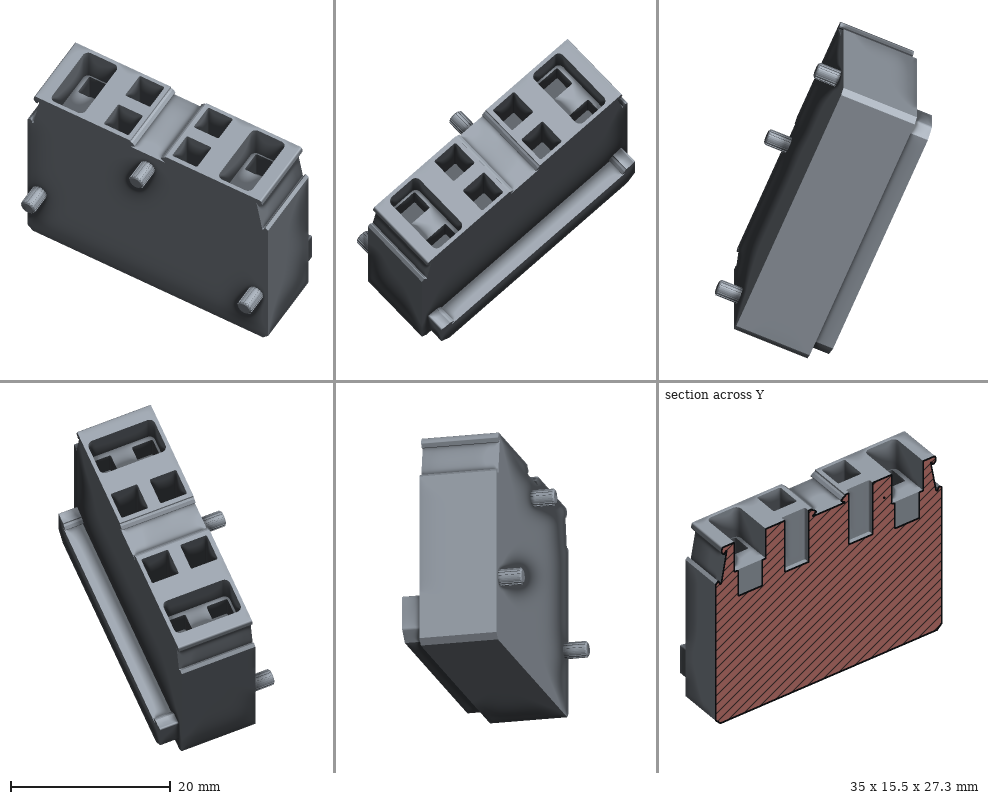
import cadquery as cq
import math

half_width = 17.5
body_depth = 10.0
body_height = 27.3
bottom_chamfer = 0.75
shoulder_z = 21.98

ridge_x = 17.1
ridge_z = 22.32
ridge_bevel_x = 16.92
ridge_bevel_z = 22.08
groove_outer_x = 16.8
groove_x = 16.65
groove_z = 21.75
neck_top_z = 26.6
neck_draft = math.tan(math.radians(10))
neck_top_x = groove_x - (neck_top_z - groove_z) * neck_draft
lip_top_x = 16.5
lip_tip_z = 26.57
lip_tip_x = lip_top_x + (body_height - lip_tip_z) * neck_draft
lip_bottom_z = 26.1
lip_bottom_outer_x = 16.3
lip_bottom_inner_x = 16.1
lip_fillet = 0.25
lip_tip_fillet = 0.1

hook_step_run = 0.06
hook_step_drop = 0.2
hook_bevel_run = 0.32
hook_bevel_drop = 0.33
hook_tip_run = 0.75
hook_tip_drop = 0.73
hook_tip_fillet = 0.12
hook_root_run = 0.1
hook_root_drop = 1.2
recess_half_width = 2.58

pocket_x = 12.18
pocket_width = 4.85
pocket_length = 9.0
pocket_depth = 4.6
pocket_radius = 0.75
well_x = 12.13
well_width = 3.75
well_length = 2.85
well_depth = 4.0
well_centres_y = (2.2, 7.9)
small_radius = 0.2

opening_x = 4.98
opening_size = 3.63
opening_depth = 8.0
opening_centres_y = (2.42, 7.7)

pin_length = 3.0
pin_outer_radius = 1.05
pin_root_radius = 0.95
pin_end_radius = 0.8
pin_chamfer_length = 0.2
pin_teeth = 15
pin_places = ((0, 23.6), (-15.75, 8.4), (15.75, 8.4))

latch_half_width = 16.5
latch_depth = 2.5
latch_bottom_z = 1.03
latch_chamfer = 1.37
latch_corner_z = 6.88
latch_corner_fillet = 0.2
latch_lower_fillet = 0.4
dish_inner_x = 15.0
dish_inner_z = 6.65
dish_sag = 0.17


def hook_points(corner_x, corner_z):
    """Right-hand side of a snap hook that points towards the centre plane."""
    offsets = (
        (0, 0),
        (hook_step_run, hook_step_drop),
        (hook_bevel_run, hook_bevel_drop),
        (hook_tip_run, hook_tip_drop),
        (hook_root_run, hook_root_drop),
    )
    return [(corner_x - run, corner_z - drop) for run, drop in offsets]


def extrude_both_halves(half_profile, start_y, depth):
    """Extrude an XZ half profile towards +Y and join its mirror image."""
    half = half_profile.close().extrude(-depth).translate((0, start_y, 0))
    return half.union(half.mirror("YZ"))


def fillet_edge_pair(solid, x, z, radius):
    """Round the edges along Y that pass through (x, z) and (-x, z)."""
    reach = 0.01
    for side in (-1, 1):
        near = cq.selectors.BoxSelector(
            (side * x - reach, -body_depth, z - reach),
            (side * x + reach, 2 * body_depth, z + reach),
        )
        solid = solid.edges("|Y").edges(near).fillet(radius)
    return solid


def round_hook_tips(solid, corner_x, corner_z):
    return fillet_edge_pair(
        solid, corner_x - hook_tip_run, corner_z - hook_tip_drop, hook_tip_fillet
    )


def make_body():
    recess = hook_points(recess_half_width, body_height)
    recess_floor_z = recess[-1][1]
    outline = [
        (0, 0),
        (half_width - bottom_chamfer, 0),
        (half_width, bottom_chamfer),
        (half_width, shoulder_z),
        (ridge_x, ridge_z),
        (ridge_bevel_x, ridge_bevel_z),
        (groove_outer_x, groove_z),
        (groove_x, groove_z),
        (neck_top_x, neck_top_z),
        (lip_bottom_inner_x, lip_bottom_z),
        (lip_bottom_outer_x, lip_bottom_z),
        (lip_tip_x, lip_tip_z),
        (lip_top_x, body_height),
    ]
    profile = cq.Workplane("XZ").polyline(outline + recess + [(0, recess_floor_z)])
    body = extrude_both_halves(profile, 0, body_depth)
    body = fillet_edge_pair(body, lip_tip_x, lip_tip_z, lip_tip_fillet)
    body = round_hook_tips(body, recess_half_width, body_height)
    return fillet_edge_pair(body, lip_top_x, body_height, lip_fillet)


def make_latch():
    hook = hook_points(dish_inner_x, dish_inner_z)
    floor_z = hook[-1][1]
    dish_mid_x = (latch_half_width + dish_inner_x) / 2
    dish_mid_z = (latch_corner_z + dish_inner_z) / 2 - dish_sag
    profile = (
        cq.Workplane("XZ")
        .moveTo(0, latch_bottom_z)
        .lineTo(latch_half_width - latch_chamfer, latch_bottom_z)
        .lineTo(latch_half_width, latch_bottom_z + latch_chamfer)
        .lineTo(latch_half_width, latch_corner_z)
        .threePointArc((dish_mid_x, dish_mid_z), hook[0])
        .polyline(hook[1:] + [(0, floor_z)], includeCurrent=True)
    )
    latch = extrude_both_halves(profile, body_depth, latch_depth)
    latch = round_hook_tips(latch, dish_inner_x, dish_inner_z)
    latch = fillet_edge_pair(latch, latch_half_width, latch_corner_z, latch_corner_fillet)
    return fillet_edge_pair(
        latch, latch_half_width, latch_bottom_z + latch_chamfer, latch_lower_fillet
    )


def make_cutter(x, y, top_z, size_x, size_y, depth, radius):
    """Rectangular plug with rounded upright edges, hanging down from top_z."""
    return (
        cq.Workplane("XY", origin=(x, y, top_z))
        .rect(size_x, size_y)
        .extrude(-depth)
        .edges("|Z")
        .fillet(radius)
    )


def cut_openings(body):
    pocket_floor_z = body_height - pocket_depth
    for side in (-1, 1):
        body = body.cut(
            make_cutter(
                side * pocket_x, body_depth / 2, body_height,
                pocket_width, pocket_length, pocket_depth, pocket_radius,
            )
        )
        for y in well_centres_y:
            body = body.cut(
                make_cutter(
                    side * well_x, y, pocket_floor_z,
                    well_width, well_length, well_depth, small_radius,
                )
            )
        for y in opening_centres_y:
            body = body.cut(
                make_cutter(
                    side * opening_x, y, body_height,
                    opening_size, opening_size, opening_depth, small_radius,
                )
            )
    return body


def make_pin():
    """Pin along -Y from the origin with straight splines and a bevelled end."""
    half_tooth = math.pi / pin_teeth / 2
    points = []
    for step in range(2 * pin_teeth):
        radius = pin_outer_radius if step % 2 == 0 else pin_root_radius
        middle = 2 * half_tooth * step
        for angle in (middle - half_tooth, middle + half_tooth):
            points.append((radius * math.sin(angle), -radius * math.cos(angle)))
    splined = cq.Workplane("XZ").polyline(points).close().extrude(pin_length)
    envelope = (
        cq.Workplane("XY")
        .polyline([
            (0, 0),
            (pin_outer_radius, 0),
            (pin_outer_radius, pin_chamfer_length - pin_length),
            (pin_end_radius, -pin_length),
            (0, -pin_length),
        ])
        .close()
        .revolve(360, (0, 0, 0), (0, 1, 0))
    )
    return splined.intersect(envelope)


def build_part():
    part = cut_openings(make_body()).union(make_latch())
    pin = make_pin()
    for x, z in pin_places:
        part = part.union(pin.translate((x, 0, z)))
    return part


result = build_part()